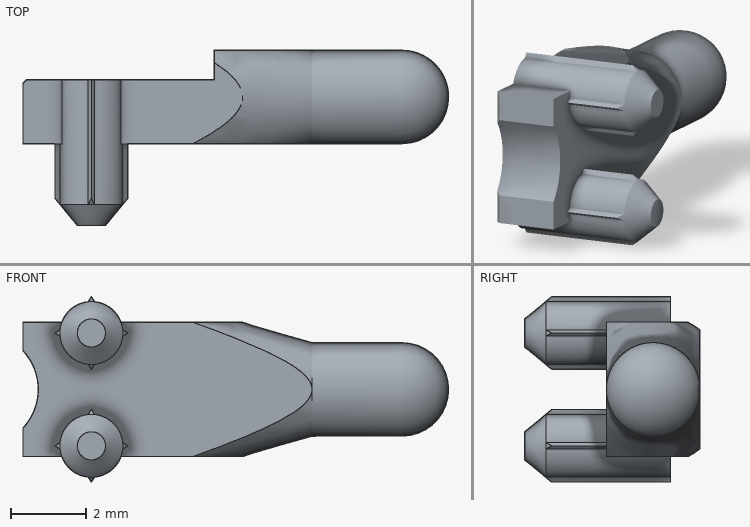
import cadquery as cq
import math

total_length = 11.3
body_height = 3.57
plate_thickness = 1.71
step_x = 5.07
end_chamfer = 0.1

shank_diameter = 2.49
shank_radius = shank_diameter / 2
shank_start_x = 7.67
taper_start_x = 5.83
dome_start_x = total_length - shank_radius

notch_depth = 0.41
notch_half_opening = 1.03

pin_x = 1.82
pin_spacing = 3.0
pin_radius = 0.84
pin_tip_radius = 0.37
pin_reach = 2.17
pin_tip_length = 0.56
rib_tip_radius = 0.966
rib_half_width = 0.085


def make_shank():
    """Flaring taper, cylinder and domed end, turned about the shank axis."""
    slope = (body_height / 2 - shank_radius) / (shank_start_x - taper_start_x)
    flare_radius = shank_radius + slope * shank_start_x
    dome_mid = shank_radius * math.sqrt(0.5)
    return (
        cq.Workplane("XY")
        .lineTo(0, flare_radius)
        .lineTo(shank_start_x, shank_radius)
        .lineTo(dome_start_x, shank_radius)
        .threePointArc((dome_start_x + dome_mid, dome_mid), (total_length, 0))
        .close()
        .revolve(360, (0, 0, 0), (1, 0, 0))
        .translate((0, shank_radius, 0))
    )


def make_body():
    """Stepped plate, trimmed by the taper so that it blends into the shank."""
    stepped_plate = (
        cq.Workplane("XY")
        .polyline([
            (0, 0),
            (total_length, 0),
            (total_length, shank_diameter),
            (step_x, shank_diameter),
            (step_x, plate_thickness),
            (end_chamfer, plate_thickness),
            (0, plate_thickness - end_chamfer),
        ])
        .close()
        .extrude(body_height / 2, both=True)
    )
    return stepped_plate.intersect(make_shank())


def make_notch():
    """Shallow round recess through the plain end of the plate."""
    radius = (notch_half_opening**2 + notch_depth**2) / (2 * notch_depth)
    return (
        cq.Workplane("XZ")
        .center(notch_depth - radius, 0)
        .circle(radius)
        .extrude(-plate_thickness)
    )


def make_pin():
    """Pin with a conical tip and four pointed crush ribs, centred on the Y axis."""
    cone_base_y = pin_tip_length - pin_reach
    tip_slope = pin_tip_length / (pin_radius - pin_tip_radius)
    rib_end_y = cone_base_y + tip_slope * (rib_tip_radius - pin_radius)

    pin = (
        cq.Workplane("XY")
        .polyline([
            (0, plate_thickness),
            (pin_radius, plate_thickness),
            (pin_radius, cone_base_y),
            (pin_tip_radius, -pin_reach),
            (0, -pin_reach),
        ])
        .close()
        .revolve(360, (0, 0, 0), (0, 1, 0))
    )
    rib_outline = (
        cq.Workplane("XY")
        .polyline([
            (0, plate_thickness),
            (rib_tip_radius, plate_thickness),
            (rib_tip_radius, rib_end_y),
            (pin_radius, cone_base_y),
            (0, cone_base_y),
        ])
        .close()
        .extrude(rib_half_width, both=True)
    )
    rib_root_x = math.sqrt(pin_radius**2 - rib_half_width**2)
    rib = (
        cq.Workplane("XZ", origin=(0, plate_thickness, 0))
        .polyline([
            (0, -rib_half_width),
            (rib_root_x, -rib_half_width),
            (rib_tip_radius, 0),
            (rib_root_x, rib_half_width),
            (0, rib_half_width),
        ])
        .close()
        .extrude(plate_thickness - cone_base_y)
        .intersect(rib_outline)
    )
    for angle in (0, 90, 180, 270):
        pin = pin.union(rib.rotate((0, 0, 0), (0, 1, 0), angle))
    return pin


result = make_body().cut(make_notch())
for side in (-1, 1):
    result = result.union(make_pin().translate((pin_x, 0, side * pin_spacing / 2)))